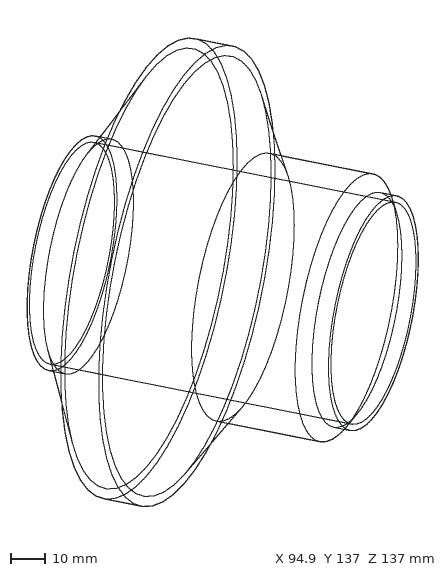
import cadquery as cq

flange_radius = 68.5
cone_rim_radius = 65.5
barrel_radius = 39.9
collar_radius = 35.0
bore_radius = 33.0

collar_length = 5.2
left_cone_length = 19.0
flange_thickness = 11.9
right_cone_length = 17.7
barrel_length = 32.6
barrel_taper_length = 3.3

left_cone_start = collar_length
flange_start = left_cone_start + left_cone_length
flange_end = flange_start + flange_thickness
barrel_start = flange_end + right_cone_length
taper_start = barrel_start + barrel_length
taper_end = taper_start + barrel_taper_length
total_length = taper_end + collar_length

half_section = [
    (0, bore_radius),
    (0, collar_radius),
    (left_cone_start, collar_radius),
    (flange_start, cone_rim_radius),
    (flange_start, flange_radius),
    (flange_end, flange_radius),
    (flange_end, cone_rim_radius),
    (barrel_start, barrel_radius),
    (taper_start, barrel_radius),
    (taper_end, collar_radius),
    (total_length, collar_radius),
    (total_length, bore_radius),
]

result = cq.Workplane("XY").polyline(half_section).close().revolve(360, (0, 0, 0), (1, 0, 0))